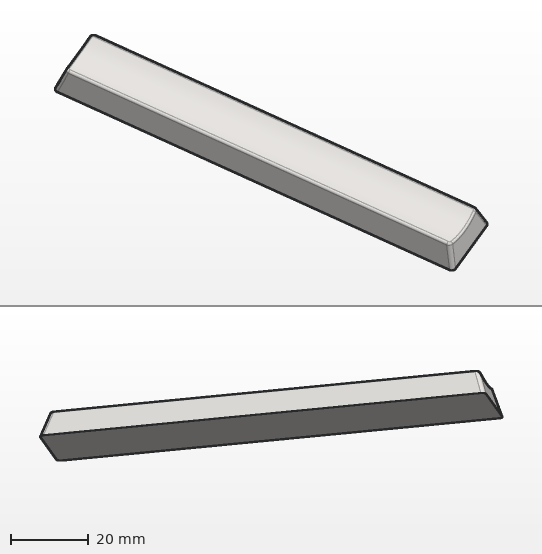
import cadquery as cq
import math

length = 118.3
width = 18.3
wall_draft = 17.0
corner_radius = 1.2

dish_floor = 6.3
sharp_rim_height = 7.6
rim_radius = 0.7

dish_half_width = width / 2 - sharp_rim_height * math.tan(math.radians(wall_draft))
dish_depth = sharp_rim_height - dish_floor
dish_radius = (dish_half_width**2 + dish_depth**2) / (2 * dish_depth)


def tapered_bar():
    """Solid bar with equal draft on all four sides and rounded corners."""
    bar = cq.Workplane("XY").rect(length, width).extrude(sharp_rim_height, taper=wall_draft)
    sloping_corner_edges = "not(#Z or |X or |Y)"
    return bar.edges(sloping_corner_edges).fillet(corner_radius)


def dish_rod():
    """Round rod along X whose lowest line lies on the dish floor."""
    rod = cq.Workplane("YZ").center(0, dish_floor + dish_radius).circle(dish_radius)
    return rod.extrude(length / 2, both=True)


def round_rim(bar):
    """Round the whole edge loop around the dish."""
    dish_face = bar.faces(cq.selectors.NearestToPointSelector((0, 0, dish_floor)))
    return dish_face.edges().fillet(rim_radius)


result = round_rim(tapered_bar().cut(dish_rod()))